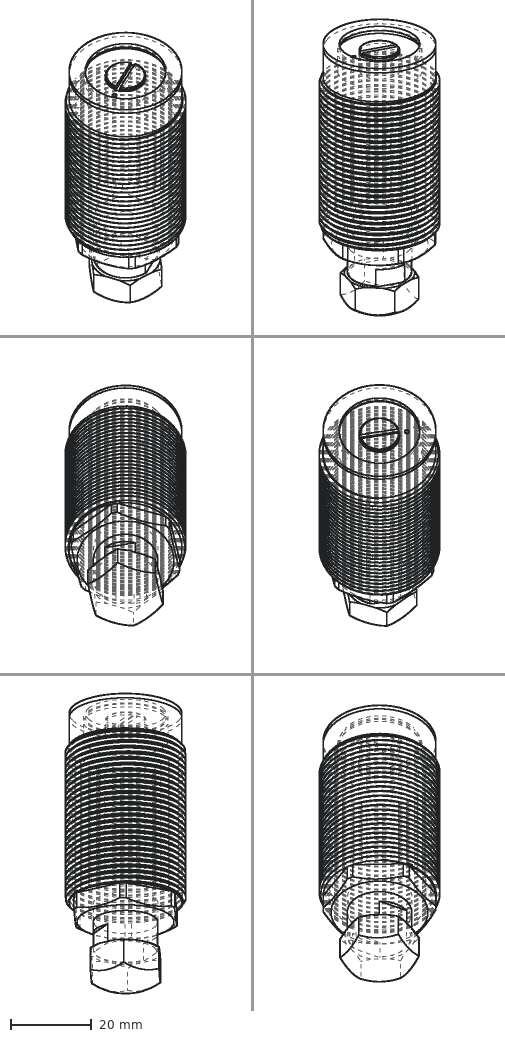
import cadquery as cq
import math

total_height = 73.35
end_ring_thickness = 1.2
end_ring_bottom = total_height - end_ring_thickness
plate_top = 71.15
thread_top = 64.2
thread_bottom = 23.1
hex_collar_bottom = 18.05
rod_flat_top = 15.0
cap_top = 10.1

housing_radius = 14.0
thread_diameter = 30.0
thread_radius = thread_diameter / 2
thread_turns = 27.4
thread_pitch = (thread_top - thread_bottom) / thread_turns
thread_depth = 0.61 * thread_pitch
thread_crest = thread_pitch / 8
thread_root = thread_pitch / 4
groove_overshoot = 0.1
bar_margin = 0.5
ring_bore_radius = 10.0
collar_across_flats = 25.0
collar_chamfer_angle = 30
collar_face_radius = 12.0

plate_thickness = 5.0
plate_bottom = plate_top - plate_thickness
plate_radius = 10.5
screw_radius = 5.0
screw_top = 72.0
screw_chamfer = 0.3
slot_width = 1.2
slot_depth = 1.2
mark_radius = 0.5
mark_offset = 6.9

rod_radius = 8.0
rod_across_flats = 14.0
rod_insertion = 5.0
rod_top = hex_collar_bottom + rod_insertion
rod_chamfer = 0.3
cap_across_flats = 17.0
cap_dome_radius = 15.0
cap_chamfer_angle = 30
cap_face_radius = 8.7


def cylinder(radius, bottom, top):
    """Cylinder on the Z axis between two heights."""
    return cq.Workplane("XY").workplane(offset=bottom).circle(radius).extrude(top - bottom)


def hexagon_prism(across_flats, bottom, top):
    """Hexagonal prism with corners on the X axis."""
    corner_diameter = across_flats / math.cos(math.radians(30))
    return cq.Workplane("XY").workplane(offset=bottom).polygon(6, corner_diameter).extrude(top - bottom)


def revolved(points):
    """Solid of revolution about Z from (radius, height) points."""
    return cq.Workplane("XZ").polyline(points).close().revolve(360, (0, 0, 0), (0, 1, 0))


def make_end_ring():
    ring = cylinder(housing_radius, end_ring_bottom, total_height)
    return ring.cut(cylinder(ring_bore_radius, end_ring_bottom, total_height))


def make_thread_groove():
    """Helical cutter of trapezoid section, one pitch longer than the thread at each end."""
    start = thread_bottom - thread_pitch
    length = thread_top - thread_bottom + 2 * thread_pitch
    root_half = thread_root / 2
    flank_slope = (thread_pitch - thread_crest - thread_root) / 2 / thread_depth
    mouth_half = root_half + flank_slope * (thread_depth + groove_overshoot)
    root_radius = thread_radius - thread_depth
    mouth_radius = thread_radius + groove_overshoot
    section = [
        (root_radius, -root_half),
        (mouth_radius, -mouth_half),
        (mouth_radius, mouth_half),
        (root_radius, root_half),
    ]
    edges = [
        cq.Wire.makeHelix(thread_pitch, length, radius, cq.Vector(0, 0, start + height))
        for radius, height in section
    ]
    faces = [cq.Face.makeRuledSurface(edges[i - 1], edges[i]) for i in range(len(edges))]
    for end in (0, 1):
        outline = cq.Wire.makePolygon([edge.positionAt(end) for edge in edges], close=True)
        faces.append(cq.Face.makeFromWires(outline))
    return cq.Workplane(cq.Solid.makeSolid(cq.Shell.makeShell(faces)).fix())


def make_threaded_barrel():
    """Threaded bar, cut to length with a chamfer at each end."""
    bar = cylinder(thread_radius, thread_bottom - bar_margin, thread_top + bar_margin)
    chamfer = thread_radius + bar_margin - housing_radius
    envelope = revolved([
        (0, thread_bottom),
        (housing_radius, thread_bottom),
        (housing_radius + chamfer, thread_bottom + chamfer),
        (housing_radius + chamfer, thread_top - chamfer),
        (housing_radius, thread_top),
        (0, thread_top),
    ])
    return bar.cut(make_thread_groove()).intersect(envelope)


def make_hex_collar():
    rise = (housing_radius - collar_face_radius) * math.tan(math.radians(collar_chamfer_angle))
    envelope = revolved([
        (0, hex_collar_bottom),
        (collar_face_radius, hex_collar_bottom),
        (housing_radius, hex_collar_bottom + rise),
        (housing_radius, thread_bottom),
        (0, thread_bottom),
    ])
    return hexagon_prism(collar_across_flats, hex_collar_bottom, thread_bottom).intersect(envelope)


def make_housing():
    neck = cylinder(housing_radius, thread_top, end_ring_bottom)
    housing = make_threaded_barrel().union(neck).union(make_hex_collar())
    plate_recess = cylinder(plate_radius, plate_bottom, end_ring_bottom)
    rod_bore = cylinder(rod_radius, hex_collar_bottom, rod_top)
    return housing.cut(plate_recess).cut(rod_bore)


def make_plate():
    plate = cylinder(plate_radius, plate_bottom, plate_top)
    screw_hole = cylinder(screw_radius, plate_bottom, plate_top)
    mark = cq.Workplane("XY").sphere(mark_radius).translate((0, -mark_offset, plate_top))
    return plate.cut(screw_hole).cut(mark)


def make_screw():
    screw = cylinder(screw_radius, plate_bottom, screw_top).faces(">Z").chamfer(screw_chamfer)
    slot = cq.Workplane("XY").box(slot_width, 2 * screw_radius, slot_depth, centered=(True, True, False))
    return screw.cut(slot.translate((0, 0, screw_top - slot_depth)))


def make_rod():
    rod = cylinder(rod_radius, cap_top, rod_top).faces("<Z").chamfer(rod_chamfer)
    flat_height = rod_flat_top - cap_top
    flat_zone = cq.Workplane("XY").box(4 * rod_radius, 4 * rod_radius, flat_height)
    keep = cq.Workplane("XY").box(rod_across_flats, 4 * rod_radius, flat_height)
    return rod.cut(flat_zone.cut(keep).translate((0, 0, cap_top + flat_height / 2)))


def make_cap():
    corner_radius = cap_across_flats / 2 / math.cos(math.radians(30))
    drop = (corner_radius - cap_face_radius) * math.tan(math.radians(cap_chamfer_angle))
    dome_rise = cap_dome_radius - math.sqrt(cap_dome_radius**2 - corner_radius**2)
    half_angle = math.asin(corner_radius / cap_dome_radius) / 2
    dome_middle = (
        cap_dome_radius * math.sin(half_angle),
        cap_dome_radius * (1 - math.cos(half_angle)),
    )
    envelope = (
        cq.Workplane("XZ")
        .threePointArc(dome_middle, (corner_radius, dome_rise))
        .lineTo(corner_radius, cap_top - drop)
        .lineTo(cap_face_radius, cap_top)
        .lineTo(0, cap_top)
        .close()
        .revolve(360, (0, 0, 0), (0, 1, 0))
    )
    return hexagon_prism(cap_across_flats, 0, cap_top).intersect(envelope)


end_ring = make_end_ring()
housing = make_housing()
plate = make_plate()
screw = make_screw()
rod = make_rod()
cap = make_cap()

result = cq.Compound.makeCompound([
    end_ring.val(),
    housing.val(),
    plate.val(),
    screw.val(),
    rod.val(),
    cap.val(),
])